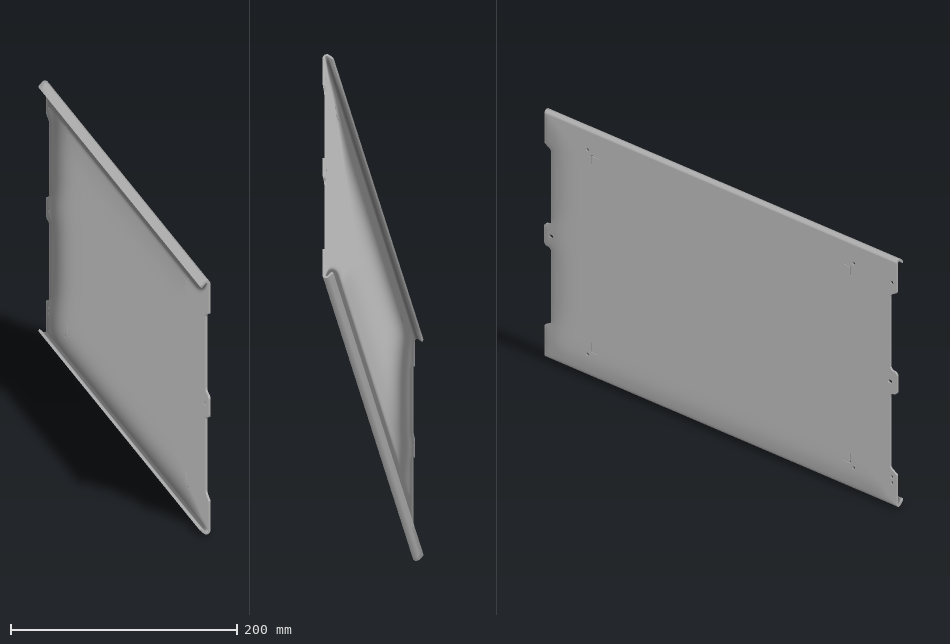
import cadquery as cq
import math

length = 410.0
height = 253.0
depth = 10.0

sheet = 2.0
inner_bend = 1.45
outer_bend = inner_bend + sheet
lip_turn = math.radians(135)
lip_corner = 1.2

corner_inset = 0.5
notch_depth = 8.0
tab_half_height = 11.5
tab_round = notch_depth / 2
corner_bottom = 93.0
slope = math.radians(30)
notch_round = 4.0
corner_round = 2.0

tab_slot_length = 5.0
tab_slot_height = 3.5
small_hole = 3.3
round_hole = 3.5
side_hole_x = 199.0
round_hole_z = 101.5
paired_hole_z = (-96.8, -103.0)
panel_hole_x = 154.5
panel_hole_z = 104.5

slit_width = 1.2
slit_x = 151.3
slit_z = 101.0
level_leg = 10.2
upright_leg = 10.2

half_length = length / 2
half_height = height / 2
side_x = half_length - corner_inset
notch_x = half_length - notch_depth
diagonal = math.sqrt(0.5)


def through_y(sketch_plane):
    """Extrude an XZ outline through the whole depth of the part."""
    return sketch_plane.extrude(2 * depth, both=True)


def four_corners(tool):
    """Repeat a tool of the +X, +Z quarter in all four quarters."""
    upper = tool.union(tool.mirror("YZ"))
    return upper.union(upper.mirror("XY"))


def bend_point(radius, angle):
    """Point (Y, Z) on the top bend, the angle running from the back face over the top."""
    return (-outer_bend + radius * math.cos(angle), half_height - outer_bend + radius * math.sin(angle))


def folded_half():
    """Upper half of the sheet, with its edge rolled forward into a lip sloping at 45 degrees."""
    top = math.radians(90)
    lip_start = bend_point(outer_bend, lip_turn)
    lip_run = depth + lip_start[0]
    lip_tip = (-depth, lip_start[1] - lip_run)
    lip_back = (lip_tip[0] + sheet * diagonal, lip_tip[1] - sheet * diagonal)
    return (
        cq.Workplane("YZ")
        .moveTo(0, 0)
        .lineTo(*bend_point(outer_bend, 0))
        .threePointArc(bend_point(outer_bend, top), lip_start)
        .lineTo(*lip_tip)
        .lineTo(*lip_back)
        .lineTo(*bend_point(inner_bend, lip_turn))
        .threePointArc(bend_point(inner_bend, top), bend_point(inner_bend, 0))
        .lineTo(-sheet, 0)
        .close()
        .extrude(half_length, both=True)
    )


def along_slope(x, z, distance):
    """Point reached from (x, z) by moving up the sloping notch end."""
    return (x + distance * math.cos(slope), z + distance * math.sin(slope))


def notch():
    """Material outside the +X, +Z quarter of the side outline."""
    outside = half_length + notch_depth
    above = half_height + notch_depth
    tab_start = tab_half_height - tab_round
    notch_top = corner_bottom - (side_x - notch_x) * math.tan(slope)
    tangent_ratio = math.tan((math.pi / 2 - slope) / 2)
    inner_tangent = notch_round * tangent_ratio
    outer_tangent = corner_round * tangent_ratio
    inner_arc_end = along_slope(notch_x, notch_top, inner_tangent)
    outer_arc_start = along_slope(side_x, corner_bottom, -outer_tangent)
    outline = (
        cq.Workplane("XZ")
        .moveTo(outside, tab_start)
        .lineTo(half_length, tab_start)
        .radiusArc((half_length - tab_round, tab_half_height), -tab_round)
        .radiusArc((notch_x, tab_half_height + tab_round), tab_round)
        .lineTo(notch_x, notch_top - inner_tangent)
        .radiusArc(inner_arc_end, notch_round)
        .lineTo(*outer_arc_start)
        .radiusArc((side_x, corner_bottom + outer_tangent), -corner_round)
        .lineTo(side_x, above)
        .lineTo(outside, above)
        .close()
    )
    return through_y(outline)


def lip_corner_cut():
    """Wedge that chamfers the +X end of the upper lip tip."""
    outline = (
        cq.Workplane("XY")
        .moveTo(side_x, -depth + lip_corner)
        .lineTo(side_x, -depth)
        .lineTo(side_x - lip_corner, -depth)
        .close()
    )
    return outline.extrude(half_height)


def slit():
    """L-shaped slit of the +X, +Z quarter."""
    inner_x = slit_x - slit_width
    inner_z = slit_z - slit_width
    outline = cq.Workplane("XZ").polyline([
        (slit_x, slit_z),
        (slit_x - level_leg, slit_z),
        (slit_x - level_leg, inner_z),
        (inner_x, inner_z),
        (inner_x, slit_z - upright_leg),
        (slit_x, slit_z - upright_leg),
    ]).close()
    return through_y(outline)


def holes(points, diameter):
    """Round holes at the given (X, Z) points."""
    return through_y(cq.Workplane("XZ").pushPoints(points).circle(diameter / 2))


upper_half = folded_half()
result = upper_half.union(upper_half.mirror("XY"))
result = result.cut(four_corners(notch()))
result = result.cut(four_corners(lip_corner_cut()))

tab_slots = cq.Workplane("XZ").pushPoints([(-notch_x, 0), (notch_x, 0)])
result = result.cut(through_y(tab_slots.slot2D(tab_slot_length, tab_slot_height)))
result = result.cut(holes([(-side_hole_x, round_hole_z)], round_hole))
result = result.cut(holes([(-side_hole_x, z) for z in paired_hole_z], small_hole))
result = result.cut(four_corners(holes([(panel_hole_x, panel_hole_z)], small_hole)))
result = result.cut(four_corners(slit()))